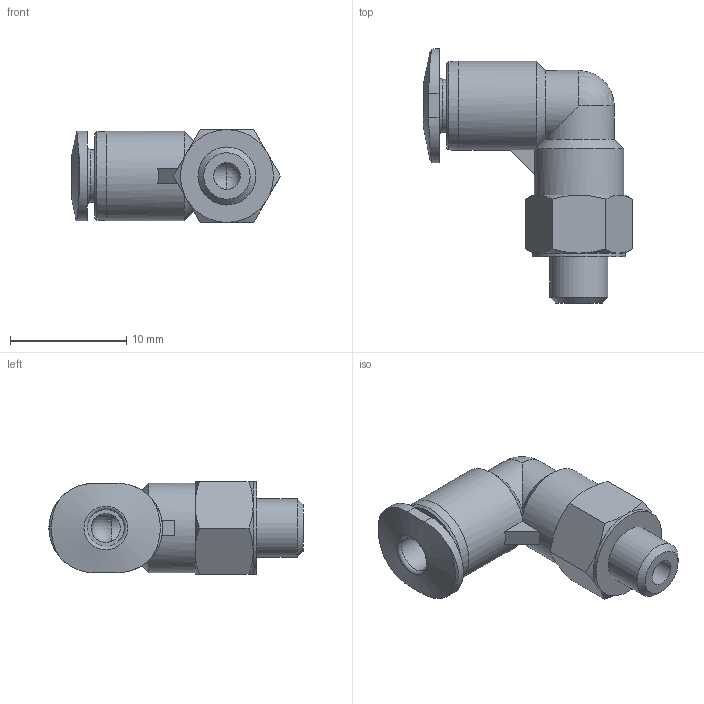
import cadquery as cq
import math


elbow_radius = 3.05
sleeve_radius = 3.85
shoulder_start = 2.9
shoulder_end = shoulder_start + sleeve_radius - elbow_radius

cap_start = 10.35
cap_end = 11.4
cap_radius = 3.8
cap_chamfer = 0.2
cap_face_radius = 3.65
neck_radius = 4.58 / 2

button_back = 12.05
button_face = 13.4
button_half_length = 4.9
button_end_radius = sleeve_radius
neck_fillet = 0.3
face_edge_radius = 4.7
face_drop = 0.58
tip_bevel_depth = 0.15

hex_start = 7.7
hex_height = 5.0
hex_end = hex_start + hex_height
hex_flats = 8.0
hex_corner_radius = hex_flats / 2 / math.cos(math.radians(30))
hex_chamfer = (hex_corner_radius - hex_flats / 2) * math.tan(math.radians(30))
washer_diameter = 8.0
washer_end = hex_end + 0.3
thread_radius = 2.5
thread_end = washer_end + 4.0
thread_chamfer = 0.5

gusset_width = 1.35
gusset_root = 3.0
gusset_reach = 9.75

tube_bore_radius = 3.17 / 2
tube_lip_radius = 0.3
tube_stop = shoulder_end
tube_passage_radius = 2.5 / 2
thread_passage_radius = 2.3 / 2


def turn_tube_leg(points):
    """Revolve an outline of (distance along -X, radius) about the tube axis."""
    outline = [(-distance, radius) for distance, radius in points]
    return cq.Workplane("XY").polyline(outline).close().revolve(360, (0, 0, 0), (1, 0, 0))


def turn_thread_leg(points):
    """Revolve an outline of (distance along -Y, radius) about the thread axis."""
    outline = [(radius, -distance) for distance, radius in points]
    return cq.Workplane("XY").polyline(outline).close().revolve(360, (0, 0, 0), (0, 1, 0))


def make_tube_body():
    return turn_tube_leg([
        (0, 0),
        (0, elbow_radius),
        (shoulder_start, elbow_radius),
        (shoulder_end, sleeve_radius),
        (cap_start, sleeve_radius),
        (cap_end - cap_chamfer, cap_radius),
        (cap_end, cap_face_radius),
        (cap_end, 0),
    ])


def make_thread_body():
    return turn_thread_leg([
        (0, 0),
        (0, elbow_radius),
        (shoulder_start, elbow_radius),
        (shoulder_end, sleeve_radius),
        (hex_start, sleeve_radius),
        (hex_start, washer_diameter / 2),
        (washer_end, washer_diameter / 2),
        (washer_end, thread_radius),
        (thread_end - thread_chamfer, thread_radius),
        (thread_end, thread_radius - thread_chamfer),
        (thread_end, 0),
    ])


def make_neck():
    """Neck between cap and button, flaring into the button's back face."""
    flare_start = button_back - neck_fillet
    flare_radius = neck_radius + neck_fillet
    flare_middle = neck_fillet * math.sqrt(0.5)
    return (
        cq.Workplane("XY")
        .moveTo(-cap_start, 0)
        .lineTo(-cap_start, neck_radius)
        .lineTo(-flare_start, neck_radius)
        .threePointArc(
            (-flare_start - flare_middle, flare_radius - flare_middle),
            (-button_back, flare_radius),
        )
        .lineTo(-button_back - neck_fillet, flare_radius)
        .lineTo(-button_back - neck_fillet, 0)
        .close()
        .revolve(360, (0, 0, 0), (1, 0, 0))
    )


def make_button():
    """Oval plate, long along Y, trimmed by a shallow cone and bevelled at its tips."""
    oval = (
        cq.Workplane("YZ", origin=(-button_face, 0, 0))
        .slot2D(2 * button_half_length, 2 * button_end_radius)
        .extrude(button_face - button_back)
    )
    face_radius = tube_bore_radius + tube_lip_radius
    cone = turn_tube_leg([
        (button_back, 0),
        (button_back, button_half_length),
        (button_face - face_drop - tip_bevel_depth, button_half_length),
        (button_face - face_drop, face_edge_radius),
        (button_face, face_radius),
        (button_face, 0),
    ])
    return oval.intersect(cone)


def make_hex():
    """Hexagon with corners on the X axis, chamfered at 30 degrees on both ends."""
    prism = (
        cq.Workplane("XZ", origin=(0, -hex_start, 0))
        .polygon(6, 2 * hex_corner_radius)
        .extrude(hex_height)
    )
    chamfer_envelope = turn_thread_leg([
        (hex_start, 0),
        (hex_start, hex_flats / 2),
        (hex_start + hex_chamfer, hex_corner_radius),
        (hex_end - hex_chamfer, hex_corner_radius),
        (hex_end, hex_flats / 2),
        (hex_end, 0),
    ])
    return prism.intersect(chamfer_envelope)


def make_gusset():
    tip = gusset_reach - gusset_root
    corners = [(-gusset_root, -gusset_root), (-tip, -gusset_root), (-gusset_root, -tip)]
    return cq.Workplane("XY").polyline(corners).close().extrude(gusset_width / 2, both=True)


def make_tube_passage():
    """Stepped tube bore with a rounded mouth and a ball-shaped end at the corner."""
    lip_middle = tube_lip_radius * (1 - math.sqrt(0.5))
    bore = (
        cq.Workplane("XY")
        .moveTo(0, 0)
        .lineTo(0, tube_passage_radius)
        .lineTo(-tube_stop, tube_passage_radius)
        .lineTo(-tube_stop, tube_bore_radius)
        .lineTo(-button_face + tube_lip_radius, tube_bore_radius)
        .threePointArc(
            (-button_face + lip_middle, tube_bore_radius + lip_middle),
            (-button_face, tube_bore_radius + tube_lip_radius),
        )
        .lineTo(-button_face, 0)
        .close()
        .revolve(360, (0, 0, 0), (1, 0, 0))
    )
    return bore.union(cq.Workplane("XY").sphere(tube_passage_radius))


def make_thread_passage():
    return cq.Workplane("XZ").circle(thread_passage_radius).extrude(thread_end)


def make_fitting():
    elbow_corner = cq.Workplane("XY").sphere(elbow_radius)
    body = make_tube_body().union(make_thread_body()).union(elbow_corner)
    for feature in (make_neck(), make_button(), make_hex(), make_gusset()):
        body = body.union(feature)
    return body.cut(make_tube_passage()).cut(make_thread_passage())


result = make_fitting()